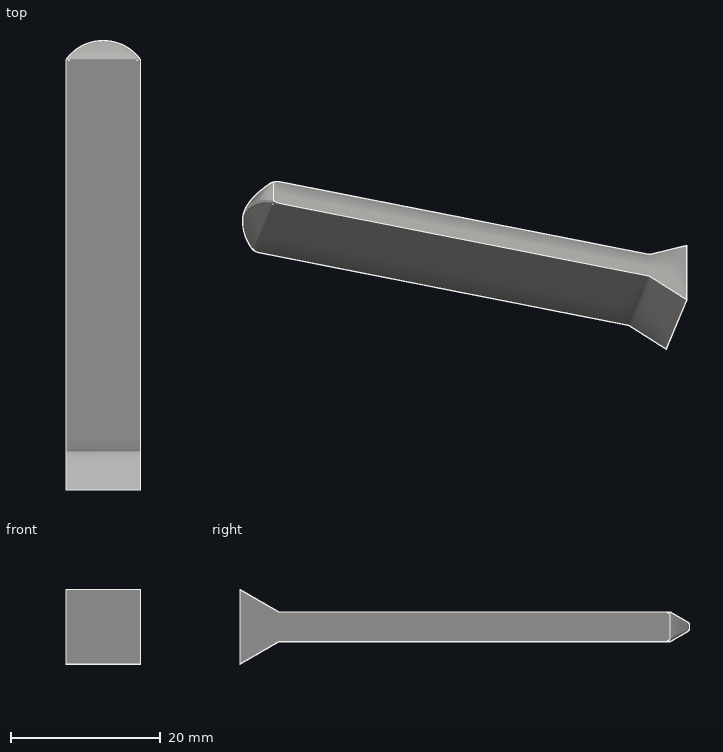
import cadquery as cq
import math

WIDTH = 10.0
LENGTH = 60.0
HEAD_HEIGHT = 10.0
SHANK_THICKNESS = 4.0
FLARE_ANGLE = 30.0
TIP_THICKNESS = 1.0
TIP_RADIUS = 6.1
TIP_ANGLE = 30.0
KINK_RADIUS = 0.5
RIM_RADIUS = 0.5

slope_run = (HEAD_HEIGHT - SHANK_THICKNESS) / 2 / math.tan(math.radians(FLARE_ANGLE))
tip_run = (SHANK_THICKNESS - TIP_THICKNESS) / 2 / math.tan(math.radians(TIP_ANGLE))
bevel_start = LENGTH - tip_run


def side_profile():
    """Bar with a flared head at Y = 0 and a double bevel at the far end."""
    upper = [
        (0, HEAD_HEIGHT / 2),
        (slope_run, SHANK_THICKNESS / 2),
        (bevel_start, SHANK_THICKNESS / 2),
        (LENGTH, TIP_THICKNESS / 2),
    ]
    lower = [(y, -z) for y, z in reversed(upper)]
    bar = cq.Workplane("YZ").polyline(upper + lower).close().extrude(WIDTH / 2, both=True)
    kinks = cq.selectors.BoxSelector(
        (-WIDTH, slope_run / 2, -HEAD_HEIGHT),
        (WIDTH, (bevel_start + LENGTH) / 2, HEAD_HEIGHT),
    )
    return bar.edges("|X").edges(kinks).fillet(KINK_RADIUS)


def plan_outline():
    """Plan shape with the tip rounded by one arc from side to side."""
    half = WIDTH / 2
    shoulder = LENGTH - TIP_RADIUS + math.sqrt(TIP_RADIUS**2 - half**2)
    return (
        cq.Workplane("XY")
        .moveTo(-half, 0)
        .lineTo(half, 0)
        .lineTo(half, shoulder)
        .threePointArc((0, LENGTH), (-half, shoulder))
        .close()
        .extrude(HEAD_HEIGHT, both=True)
    )


def round_rim(bar):
    """Fillet the rims where the rounded tip wall meets the bevels and the flat faces."""
    tip_wall = bar.faces("%CYLINDER").faces(">Y")
    return tip_wall.edges("not |Z").fillet(RIM_RADIUS)


result = round_rim(side_profile().intersect(plan_outline()))